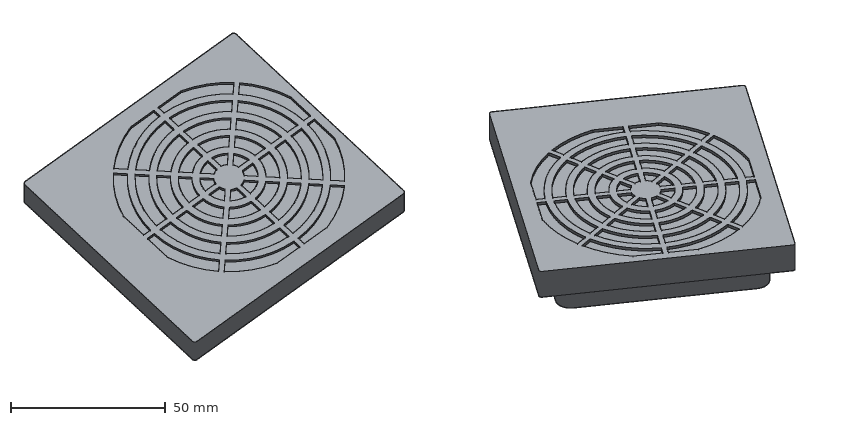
import cadquery as cq

plate_width = 84.2
plate_length = 90.7
plate_thickness = 10.25
plate_corner_radius = 1.0

spigot_side = 70.4
spigot_height = 8.3
spigot_corner_radius = 5.0
grille_center_y = 6.35

slot_depth = 1.0
hub_radius = 5.0
slot_width = 4.4
ring_width = 2.5
slot_row_count = 5
outer_radius = 37.45
opening_side = 71.7
spoke_width = 1.8
spoke_count = 8

total_height = spigot_height + plate_thickness
slot_floor_z = total_height - slot_depth


def disc(radius):
    """Disc as deep as the slots, centred on the grille."""
    return (
        cq.Workplane("XY", origin=(0, grille_center_y, slot_floor_z))
        .circle(radius)
        .extrude(slot_depth)
    )


def bar(length, width):
    """Rectangular block as deep as the slots, centred on the grille."""
    return (
        cq.Workplane("XY", origin=(0, grille_center_y, slot_floor_z))
        .rect(length, width)
        .extrude(slot_depth)
    )


def make_plate():
    return (
        cq.Workplane("XY", origin=(0, 0, spigot_height))
        .rect(plate_width, plate_length)
        .extrude(plate_thickness)
        .edges("|Z")
        .fillet(plate_corner_radius)
    )


def make_spigot():
    return (
        cq.Workplane("XY", origin=(0, grille_center_y, 0))
        .rect(spigot_side, spigot_side)
        .extrude(spigot_height)
        .edges("|Z")
        .fillet(spigot_corner_radius)
    )


def make_slots():
    """Concentric slots; the outermost row is trimmed by a square opening."""
    slots = disc(outer_radius).intersect(bar(opening_side, opening_side))

    row_pitch = slot_width + ring_width
    for row in range(1, slot_row_count):
        ring_outer_radius = hub_radius + row * row_pitch
        ring = disc(ring_outer_radius).cut(disc(ring_outer_radius - ring_width))
        slots = slots.cut(ring)

    axis_start = (0, grille_center_y, 0)
    axis_end = (0, grille_center_y, 1)
    for index in range(spoke_count // 2):
        angle = index * 360 / spoke_count
        spoke_pair = bar(2 * outer_radius, spoke_width).rotate(axis_start, axis_end, angle)
        slots = slots.cut(spoke_pair)

    return slots.cut(disc(hub_radius))


result = make_plate().union(make_spigot()).cut(make_slots())